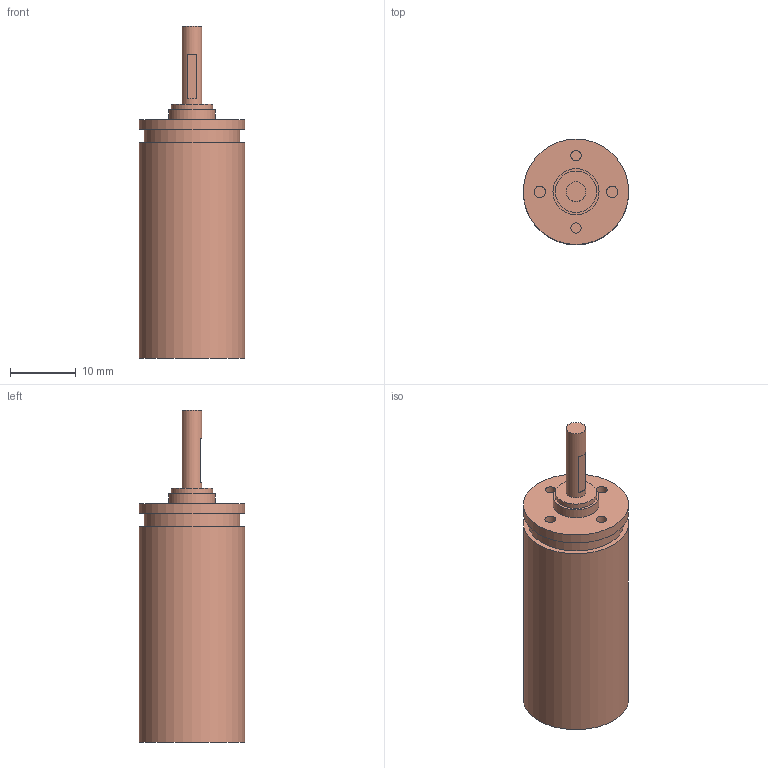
import cadquery as cq

body_diameter = 16.0
groove_diameter = 14.5
boss_diameter = 7.0
bearing_diameter = 6.3
shaft_diameter = 3.0

body_length = 32.7
groove_length = 2.0
flange_thickness = 1.5
boss_height = 1.5
bearing_height = 0.8
total_length = 50.4

groove_base = body_length
flange_base = groove_base + groove_length
flange_top = flange_base + flange_thickness
bearing_top = flange_top + boss_height + bearing_height
shaft_length = total_length - bearing_top

hole_circle_radius = 5.5
side_hole_diameter = 1.69
front_hole_diameter = 1.57
hole_depth = flange_top - groove_base

flat_depth = 0.2
flat_length = 6.7
flat_start = 0.9


def stack_section(part, diameter, length):
    """Add a coaxial cylinder on the current top face."""
    return part.faces(">Z").workplane().circle(diameter / 2).extrude(length)


def make_housing_and_shaft():
    """Build the gearmotor body, groove, flange, boss, bearing and shaft."""
    part = cq.Workplane("XY").circle(body_diameter / 2).extrude(body_length)
    part = stack_section(part, groove_diameter, groove_length)
    part = stack_section(part, body_diameter, flange_thickness)
    part = stack_section(part, boss_diameter, boss_height)
    part = stack_section(part, bearing_diameter, bearing_height)
    return stack_section(part, shaft_diameter, shaft_length)


def make_hole_pair(diameter, direction_x, direction_y):
    """Cutters for two opposite blind holes sunk from the flange face."""
    x = hole_circle_radius * direction_x
    y = hole_circle_radius * direction_y
    return (
        cq.Workplane("XY")
        .workplane(offset=flange_top)
        .pushPoints([(x, y), (-x, -y)])
        .circle(diameter / 2)
        .extrude(-hole_depth)
    )


def make_flat_cutter():
    """Block that removes the flat from the -Y side of the shaft."""
    shaft_radius = shaft_diameter / 2
    flat_y = flat_depth - shaft_radius
    return (
        cq.Workplane("XY")
        .box(shaft_diameter, shaft_radius, flat_length, centered=(True, False, False))
        .translate((0, flat_y - shaft_radius, bearing_top + flat_start))
    )


result = (
    make_housing_and_shaft()
    .cut(make_hole_pair(side_hole_diameter, 1, 0))
    .cut(make_hole_pair(front_hole_diameter, 0, 1))
    .cut(make_flat_cutter())
)